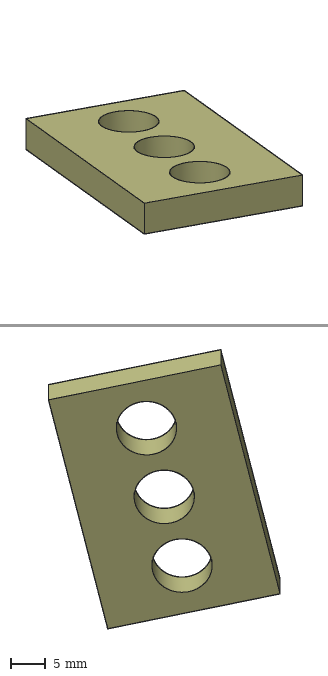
import cadquery as cq

length = 38.1
width = 25.4
thickness = 4.75

hole_count = 3
hole_diameter = 8.65
hole_spacing = 11.43

plate = cq.Workplane("XY").box(length, width, thickness)

result = (
    plate.faces(">Z")
    .workplane()
    .rarray(hole_spacing, width, hole_count, 1)
    .hole(hole_diameter)
)